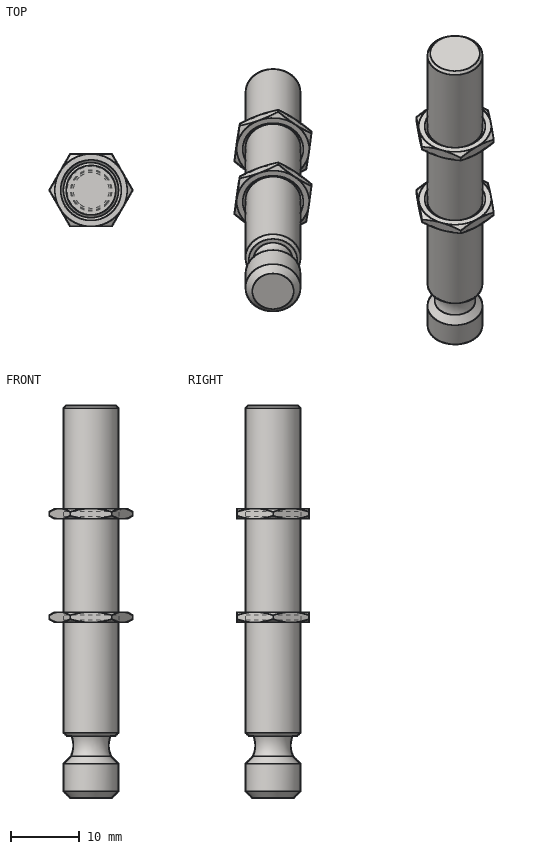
import cadquery as cq
import math

pin_length = 57.0
pin_diameter = 8.0
top_chamfer = 0.4
head_bottom_chamfer = 1.0
head_shoulder_z = 5.0
neck_bottom_z = 6.05
neck_bottom_radius = 2.95
neck_waist_z = 7.5
neck_waist_radius = 2.6
neck_top_radius = 2.85
shank_bottom_z = 9.0
shank_bottom_chamfer = 0.5

nut_sides = 6
nut_across_corners = 12.14
nut_thickness = 1.5
nut_bottom_heights = [25.5, 40.5]
nut_corner_chamfer_angle = 30.0
bore_chamfer = 0.4

pin_radius = pin_diameter / 2
nut_corner_radius = nut_across_corners / 2
nut_face_radius = nut_corner_radius * math.cos(math.pi / nut_sides)


def make_pin():
    """Revolve the half profile, listed from the head upward, about Z."""
    profile = (
        cq.Workplane("XZ")
        .lineTo(pin_radius - head_bottom_chamfer, 0)
        .lineTo(pin_radius, head_bottom_chamfer)
        .lineTo(pin_radius, head_shoulder_z)
        .lineTo(neck_bottom_radius, neck_bottom_z)
        .threePointArc((neck_waist_radius, neck_waist_z), (neck_top_radius, shank_bottom_z))
        .lineTo(pin_radius - shank_bottom_chamfer, shank_bottom_z)
        .lineTo(pin_radius, shank_bottom_z + shank_bottom_chamfer)
        .lineTo(pin_radius, pin_length - top_chamfer)
        .lineTo(pin_radius - top_chamfer, pin_length)
        .lineTo(0, pin_length)
        .close()
    )
    return profile.revolve(360, (0, 0), (0, 1))


def make_nut(bottom_z):
    """Hexagon with conically chamfered corners and a bore chamfered at both ends."""
    hexagon = cq.Workplane("XY").polygon(nut_sides, nut_across_corners).extrude(nut_thickness)

    corner_drop = (nut_corner_radius - nut_face_radius) * math.tan(math.radians(nut_corner_chamfer_angle))
    bore_end_radius = pin_radius + bore_chamfer
    turned_ring = (
        cq.Workplane("XZ")
        .moveTo(bore_end_radius, 0)
        .lineTo(nut_face_radius, 0)
        .lineTo(nut_corner_radius, corner_drop)
        .lineTo(nut_corner_radius, nut_thickness - corner_drop)
        .lineTo(nut_face_radius, nut_thickness)
        .lineTo(bore_end_radius, nut_thickness)
        .lineTo(pin_radius, nut_thickness - bore_chamfer)
        .lineTo(pin_radius, bore_chamfer)
        .close()
        .revolve(360, (0, 0), (0, 1))
    )
    return hexagon.intersect(turned_ring).translate((0, 0, bottom_z))


pin = make_pin()
nuts = [make_nut(bottom_z) for bottom_z in nut_bottom_heights]

result = cq.Compound.makeCompound([pin.val(), *[nut.solids().val() for nut in nuts]])